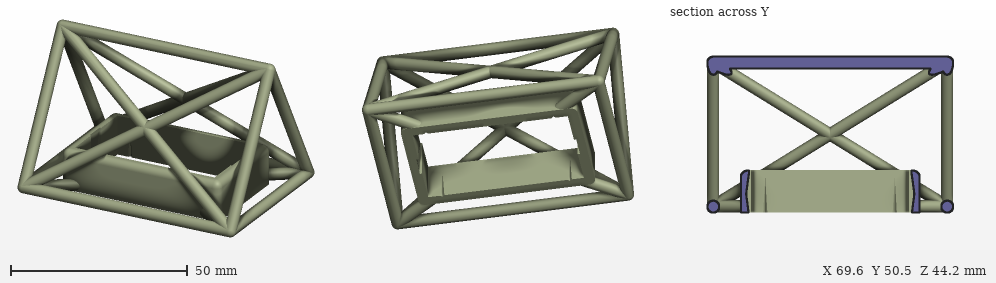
import cadquery as cq
import math

BAR_DIAMETER = 3.5
TRIANGLE_SIDE = 47.0
FRAME_LENGTH = 66.1

HOLDER_WALL = 3.0
OPENING_LENGTH = 44.7
OPENING_WIDTH = 25.6
HOLDER_HEIGHT = 12.0
HOLDER_FILLET = 2.0

RECESS_WIDTH = 6.0
RECESS_TOP_DEPTH = 0.45
RECESS_BEND_DEPTH = 1.35
RECESS_BOTTOM_DEPTH = 0.65
RECESS_BEND_Z = 3.6

NOTCH_SPACING = 36.6
NOTCH_TIP_Z = 8.0
NOTCH_BOTTOM_WIDTH = 1.2

BAR_RADIUS = BAR_DIAMETER / 2
TRIANGLE_HEIGHT = TRIANGLE_SIDE * math.sqrt(3) / 2
END_X = FRAME_LENGTH / 2
HOLDER_BOTTOM = -BAR_RADIUS
HOLDER_TOP = HOLDER_BOTTOM + HOLDER_HEIGHT


def bar(start, end):
    """Round bar between the two axis end points."""
    axis = end - start
    return cq.Solid.makeCylinder(BAR_RADIUS, axis.Length, start, axis)


def joint(center):
    """Ball that rounds off the bars meeting at a corner."""
    return cq.Workplane("XY").sphere(BAR_RADIUS).translate(center).val()


def end_corners(x):
    """Corners of the triangle at one end of the frame."""
    return [
        cq.Vector(x, -TRIANGLE_SIDE / 2, 0),
        cq.Vector(x, TRIANGLE_SIDE / 2, 0),
        cq.Vector(x, 0, TRIANGLE_HEIGHT),
    ]


def frame():
    """Two end triangles, three long bars, and crossed diagonals on each rectangular side."""
    left = end_corners(-END_X)
    right = end_corners(END_X)
    pieces = []
    for i in range(len(left)):
        j = (i + 1) % len(left)
        pieces.append(joint(left[i]))
        pieces.append(joint(right[i]))
        pieces.append(bar(left[i], right[i]))
        pieces.append(bar(left[i], left[j]))
        pieces.append(bar(right[i], right[j]))
        pieces.append(bar(left[i], right[j]))
        pieces.append(bar(left[j], right[i]))
    return cq.Workplane(pieces[0].fuse(*pieces[1:]))


def holder_block():
    """Outer block of the holder, rounded on the upright and top edges."""
    return (
        cq.Workplane("XY")
        .workplane(offset=HOLDER_BOTTOM)
        .rect(OPENING_LENGTH + 2 * HOLDER_WALL, OPENING_WIDTH + 2 * HOLDER_WALL)
        .extrude(HOLDER_HEIGHT)
        .edges("|Z or >Z")
        .fillet(HOLDER_FILLET)
    )


def holder_opening():
    """Rectangular opening that passes through the holder and the base diagonals."""
    return (
        cq.Workplane("XY")
        .workplane(offset=HOLDER_BOTTOM)
        .rect(OPENING_LENGTH, OPENING_WIDTH)
        .extrude(HOLDER_HEIGHT)
    )


def end_recesses():
    """Cutter that deepens the opening at both end walls, deepest at the bend line."""
    wall_x = OPENING_LENGTH / 2
    return (
        cq.Workplane("XZ")
        .moveTo(-wall_x - RECESS_BOTTOM_DEPTH, HOLDER_BOTTOM)
        .lineTo(wall_x + RECESS_BOTTOM_DEPTH, HOLDER_BOTTOM)
        .lineTo(wall_x + RECESS_BEND_DEPTH, RECESS_BEND_Z)
        .lineTo(wall_x + RECESS_TOP_DEPTH, HOLDER_TOP)
        .lineTo(-wall_x - RECESS_TOP_DEPTH, HOLDER_TOP)
        .lineTo(-wall_x - RECESS_BEND_DEPTH, RECESS_BEND_Z)
        .close()
        .extrude(RECESS_WIDTH / 2, both=True)
    )


def wall_notches():
    """Four square pyramids set cornerwise on the long walls, each cutting a pointed V notch."""
    half_width = NOTCH_BOTTOM_WIDTH / 2
    tip = cq.Vector(0, 0, NOTCH_TIP_Z)
    base = [
        cq.Vector(half_width, 0, HOLDER_BOTTOM),
        cq.Vector(0, half_width, HOLDER_BOTTOM),
        cq.Vector(-half_width, 0, HOLDER_BOTTOM),
        cq.Vector(0, -half_width, HOLDER_BOTTOM),
    ]
    faces = [cq.Face.makeFromWires(cq.Wire.makePolygon(base, close=True))]
    for i, corner in enumerate(base):
        side = [base[i - 1], corner, tip]
        faces.append(cq.Face.makeFromWires(cq.Wire.makePolygon(side, close=True)))
    pyramid = cq.Solid.makeSolid(cq.Shell.makeShell(faces))
    return (
        cq.Workplane("XY")
        .rarray(NOTCH_SPACING, OPENING_WIDTH, 2, 2)
        .eachpoint(lambda place: pyramid.moved(place), combine="a")
    )


result = frame().union(holder_block()).cut(holder_opening()).cut(end_recesses()).cut(wall_notches())